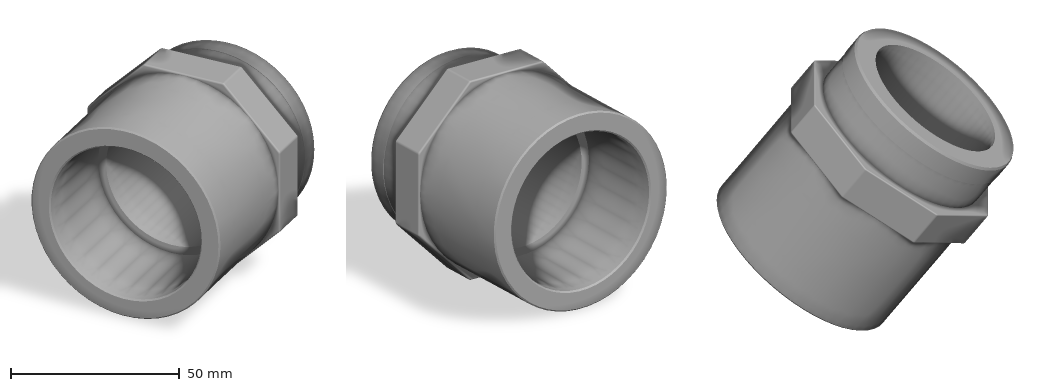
import cadquery as cq

total_length = 67.1
end_ring_length = 6.7
neck_length = 10.2
octagon_length = 12.1
front_y = -total_length / 2
back_y = total_length / 2
ring_joint_y = back_y - end_ring_length
octagon_back_y = ring_joint_y - neck_length

octagon_across_flats = 64.0
barrel_front_diameter = 62.8
barrel_back_diameter = 63.0
neck_diameter = 58.0
end_ring_diameter = 58.4

bore_diameter = 44.0
socket_mouth_diameter = 50.0
socket_bottom_diameter = 49.4
socket_depth = 30.9

octagon_corner_fillet = 1.0
octagon_front_fillet = 0.55
octagon_back_fillet = 0.4
barrel_chamfer = 0.5
mouth_chamfer = 0.5
end_ring_chamfer_length = 0.8
end_ring_chamfer_depth = 0.4


def revolve_profile(points):
    """Turn a closed (radius, y) outline into a solid around the Y axis."""
    return cq.Workplane("XY").polyline(points).close().revolve(360, (0, 0), (0, 1))


def make_octagon():
    """Wrench octagon with rounded corners and rims, flats facing X and Z."""
    prism = (
        cq.Workplane("XZ", origin=(0, octagon_back_y, 0))
        .polygon(8, octagon_across_flats, circumscribed=True)
        .extrude(octagon_length)
        .edges("|Y")
        .fillet(octagon_corner_fillet)
    )
    return (
        prism.faces("<Y")
        .fillet(octagon_front_fillet)
        .faces(">Y")
        .fillet(octagon_back_fillet)
    )


def make_barrel():
    """Barrel around the socket, tapering slightly toward its chamfered front rim."""
    front_radius = barrel_front_diameter / 2
    return revolve_profile([
        (0, front_y),
        (front_radius - barrel_chamfer, front_y),
        (front_radius, front_y + barrel_chamfer),
        (barrel_back_diameter / 2, octagon_back_y),
        (0, octagon_back_y),
    ])


def make_neck():
    """Round neck between the octagon and the end ring."""
    neck_plane = cq.Workplane("XZ", origin=(0, ring_joint_y, 0))
    return neck_plane.circle(neck_diameter / 2).extrude(neck_length)


def make_inner_cavity():
    """Chamfered mouth, tapered socket and through bore as one tool."""
    mouth_radius = socket_mouth_diameter / 2
    bore_radius = bore_diameter / 2
    shoulder_y = front_y + socket_depth
    return revolve_profile([
        (0, front_y),
        (mouth_radius + mouth_chamfer, front_y),
        (mouth_radius, front_y + mouth_chamfer),
        (socket_bottom_diameter / 2, shoulder_y),
        (bore_radius, shoulder_y),
        (bore_radius, ring_joint_y),
        (0, ring_joint_y),
    ])


def make_fitting():
    """Octagon, barrel and neck in one piece, hollowed by the socket and bore."""
    return make_octagon().union(make_barrel()).union(make_neck()).cut(make_inner_cavity())


def make_end_ring():
    """Ring butted against the neck, with the bore passing through it."""
    outer_radius = end_ring_diameter / 2
    bore_radius = bore_diameter / 2
    return revolve_profile([
        (bore_radius, ring_joint_y),
        (outer_radius, ring_joint_y),
        (outer_radius, back_y - end_ring_chamfer_length),
        (outer_radius - end_ring_chamfer_depth, back_y),
        (bore_radius, back_y),
    ])


fitting = make_fitting()
end_ring = make_end_ring()
result = cq.Compound.makeCompound([fitting.val(), end_ring.val()])